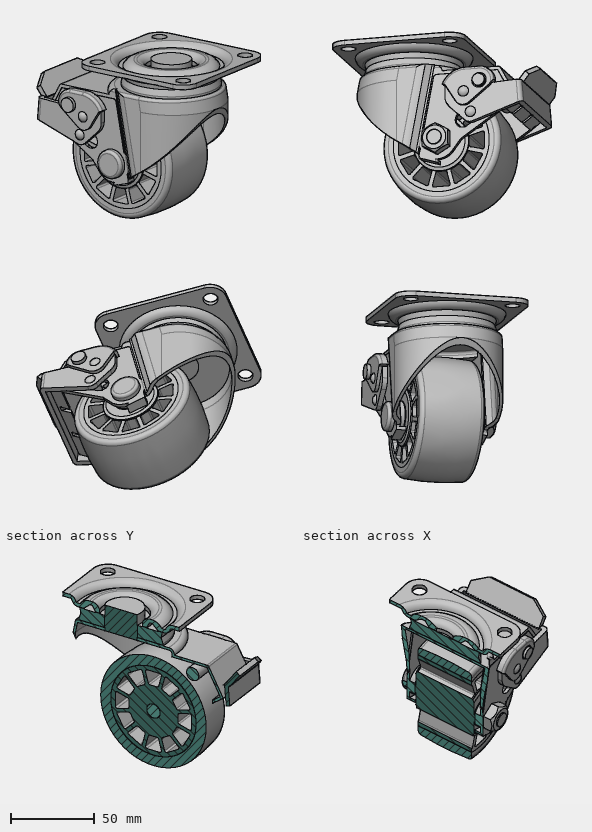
import cadquery as cq
import math

SHEET = 2.0

PLATE_SIDE = 82.0
PLATE_THICK = 2.9
PLATE_CORNER_R = 10.0
BOLT_HOLE_PITCH = 63.0
BOLT_HOLE_D = 8.9
DISH_OUTER_R = 36.5
DISH_FLOOR_OUTER_R = 31.5
DISH_FLOOR_INNER_R = 29.0
DISH_DEPTH = 4.2
BEAD_TOP_OUTER_R = 22.3
BEAD_TOP_INNER_R = 20.6
BEAD_DROP = 0.4
PLATE_BORE_R = 15.5
PRESS_BULGE = 1.0
DISH_FOOT_R = 30.7
DISH_EDGE_R = 35.2
DISH_BOTTOM_Z = -(DISH_DEPTH + PLATE_THICK)

FORK_TOP_Z = -15.8
RACE_TOP_R = 29.5
RACE_WAIST_R = 28.7
RACE_WAIST_Z = -10.5
RACE_FOOT_R = 30.0
RACE_FOOT_Z = -14.5
KINGPIN_R = 12.2

AXLE_X = -22.8
AXLE_Z = -62.4
AXLE = (AXLE_X, AXLE_Z)
WHEEL_R = 37.4
TREAD_EDGE_R = 36.5
TREAD_SHOULDER_R = 33.0
TREAD_CROWN_HALF = 17.5
TREAD_HALF_WIDTH = 20.0
SHOULDER_BULGE = 0.9
CORE_R = 29.8
HUB_R = 17.2
HUB_HALF_WIDTH = 21.6
HUB_BEVEL = 2.0
HUB_BEVEL_DEPTH = 0.7
COLLAR_R = 9.1
WINDOW_COUNT = 12
WINDOW_INNER_R = 17.3
WINDOW_OUTER_R = 26.7
SPOKE_THICK = 2.6
WINDOW_CORNER_R = 1.0

BOLT_R = 4.5
BOLT_HEAD_R = 8.9
BOLT_HEAD_HEIGHT = 4.1
BOLT_HEAD_ROUND = 1.9
BOLT_END_Y = 35.8
NUT_FLATS = 16.0
NUT_HEIGHT = 6.7
NUT_CHAMFER_R = 7.2

HOOD_HALF = 28.0
LEG_HALF = 28.2
SKIRT_HALF = 33.0
CAP_FRONT_R = 37.9
CAP_FRONT_ROUND = 4.0
SKIRT_TOP_R = 32.7
SKIRT_R = 34.1
SKIRT_FLARE_END_Z = -25.0
SKIRT_EDGE_MID = (19.0, -47.4)
SKIRT_EDGE_LOW = (-1.9, -64.3)
SKIRT_TOE = (-11.2, -70.1)
EDGE_ROUND = 1.9
HOOD_TOP_Z = -19.8
HOOD_CREST = (-61.5, HOOD_TOP_Z)
HOOD_CREST_R = 1.2
PAD_INSET = 2.1
PAD_CORNER_R = 2.0
HOOD_NOSE = (-72.1, -39.3)
HOOD_LIP = (-64.3, -45.2)
LEG_NECK = (-37.4, -62.8)
LEG_HEEL = (-32.3, -69.5)
LEG_END_R = 11.9
CUT_LOWEST_Z = -87.4
RIDGE_X = -19.7
RIDGE_SLOPE = 0.19
RIDGE_STEP = 3.4
RIDGE_STEP_HALF = 31.6
RIDGE_ROLL = 8.5
RIDGE_BULGE = 0.4
RIDGE_FOOT_HALF = 28.6
RIDGE_FOOT = 1.2
CAVITY_REAR_X = 12.5
RIM_ROUND = 1.2
RIM_THICK = 2.1
RIM_END = (-11.5, -70.6)
NOTCH_Y = 10.5
NOTCH_WIDTH = 2.7
NOTCH_TOP_Z = -40.5
NOTCH_DEPTH = 7.5
NOTCH_LENGTH = 17.5
LEG_BOSS_R = 9.7
LEG_BOSS_END = 22.1
SLOT_REAR = (-38.7, -51.0)
SLOT_R = 4.7

PEDAL_INNER_HALF = 28.7
PEDAL_OUTER_HALF = 31.8
PEDAL_FRONT_TOP = (-75.6, -29.8)
PEDAL_FRONT_BOTTOM = (-76.7, -43.0)
PEDAL_FRONT_THICK = 3.0
PEDAL_CORNER_R = 2.7
ARM_TOP = (-57.7, -30.7)
ARM_REAR_TOP = (-35.0, -27.5)
ARM_REAR = (-28.6, -30.6)
ARM_REAR_LOW = (-28.6, -37.4)
ARM_HEEL = (-31.7, -43.9)
ARM_REAR_BULGE = 0.7
ARM_TOE_REAR = (-40.5, -52.2)
ARM_TOE = (-46.2, -53.3)
ARM_TOE_BULGE = 0.9
TAB_TIP_INNER = (-81.1, -18.3)
TAB_BASE_INNER = (-72.9, -29.0)
TAB_HALF = 26.8
TAB_TIP_HALF = 16.5
TAB_THICK = 3.4
TAB_TAPER = 6.9
TAB_ROOT = 2.5
TAB_EMBED = 0.5
BOSS_OUTER_HALF = 34.0
BOSS_ROUND = 1.6
BOSS_SHOULDER_X = -40.8
BOSS_REAR_MID = (-32.5, -23.0)
BOSS_TIP = (-27.1, -29.5)
BOSS_REAR = (-29.0, -30.2)
BOSS_LOW_REAR = (-35.5, -40.5)
BOSS_LOWEST = (-40.3, -43.4)
BOSS_LOW_FRONT = (-44.3, -42.0)
BOSS_FRONT = (-56.7, -32.2)
PIVOT = (-50.4, -29.1)
PIVOT_BOSS_R = 8.9
PIN_R = 4.5
PIN_TIP_R = 3.7
PIN_FRONT_Y = -36.3
PIN_BACK_Y = 35.7
DIMPLE_R = 3.2
DIMPLE_HEIGHT = 1.6
BOSS_DIMPLE = (-40.7, -35.2)
ARM_DIMPLE = (-44.4, -47.5)
STUD_R = 4.5
STUD_END = 22.2


def slab_y(sketch, y_from, y_to):
    """Extrude a sketch drawn on the XZ plane between two Y positions."""
    return sketch.extrude(-(y_to - y_from)).translate((0, y_from, 0))


def xz():
    return cq.Workplane("XZ")


def rod_y(center, radius, y_from, y_to):
    return slab_y(xz().center(*center).circle(radius), y_from, y_to)


def about_z(profile):
    return profile.close().revolve(360, (0, 0, 0), (0, 1, 0))


def about_axle(profile):
    """Turn a (radius, Y) profile about the axle."""
    return profile.close().revolve(360, (0, 0, 0), (0, 1, 0)).translate((AXLE_X, 0, AXLE_Z))


def both_sides(body):
    return body.union(body.mirror("XZ"))


def bulge(start, end, rise):
    """Middle point of a shallow arc that bows to the left of start-end by rise."""
    dx, dz = end[0] - start[0], end[1] - start[1]
    length = math.hypot(dx, dz)
    return ((start[0] + end[0]) / 2 - dz / length * rise, (start[1] + end[1]) / 2 + dx / length * rise)


def make_plate():
    plate = cq.Workplane("XY").rect(PLATE_SIDE, PLATE_SIDE).extrude(-PLATE_THICK)
    plate = plate.edges("|Z").fillet(PLATE_CORNER_R)
    plate = plate.cut(cq.Workplane("XY").circle(DISH_OUTER_R).extrude(-PLATE_THICK))

    rim_top, floor_outer = (DISH_OUTER_R, 0), (DISH_FLOOR_OUTER_R, -DISH_DEPTH)
    floor_inner, crest_outer = (DISH_FLOOR_INNER_R, -DISH_DEPTH), (BEAD_TOP_OUTER_R, -BEAD_DROP)
    crest_inner, bore_top = (BEAD_TOP_INNER_R, -BEAD_DROP), (PLATE_BORE_R, -DISH_DEPTH)
    under_crest_z = -BEAD_DROP - PLATE_THICK
    under_outer, under_inner = (RACE_TOP_R - PLATE_THICK, DISH_BOTTOM_Z), (BEAD_TOP_OUTER_R, under_crest_z)
    dish_foot, dish_edge = (DISH_FOOT_R, DISH_BOTTOM_Z), (DISH_EDGE_R, -PLATE_THICK)
    pressing = (
        xz().moveTo(*rim_top).threePointArc(bulge(rim_top, floor_outer, -PRESS_BULGE), floor_outer)
        .lineTo(*floor_inner).threePointArc(bulge(floor_inner, crest_outer, -PRESS_BULGE), crest_outer)
        .lineTo(*crest_inner).threePointArc(bulge(crest_inner, bore_top, -PRESS_BULGE), bore_top)
        .lineTo(PLATE_BORE_R, DISH_BOTTOM_Z).lineTo(PLATE_BORE_R + PLATE_THICK, DISH_BOTTOM_Z)
        .lineTo(BEAD_TOP_INNER_R, under_crest_z).lineTo(*under_inner).lineTo(*under_outer)
        .lineTo(*dish_foot).threePointArc(bulge(dish_foot, dish_edge, -PRESS_BULGE), dish_edge)
        .lineTo(DISH_OUTER_R, -PLATE_THICK)
    )
    plate = plate.union(about_z(pressing))
    holes = cq.Workplane("XY").rect(BOLT_HOLE_PITCH, BOLT_HOLE_PITCH, forConstruction=True).vertices()
    return plate.cut(holes.circle(BOLT_HOLE_D / 2).extrude(-PLATE_THICK))


def make_race():
    return about_z(xz().polyline([
        (KINGPIN_R, DISH_BOTTOM_Z), (RACE_TOP_R, DISH_BOTTOM_Z), (RACE_WAIST_R, RACE_WAIST_Z),
        (RACE_FOOT_R, RACE_FOOT_Z), (RACE_FOOT_R, FORK_TOP_Z), (KINGPIN_R, FORK_TOP_Z),
    ]))


def make_kingpin():
    return cq.Workplane("XY").circle(KINGPIN_R).extrude(FORK_TOP_Z - SHEET)


def make_tread():
    edge_far, edge_near = (TREAD_EDGE_R, TREAD_CROWN_HALF), (TREAD_EDGE_R, -TREAD_CROWN_HALF)
    side_far, side_near = (TREAD_SHOULDER_R, TREAD_HALF_WIDTH), (TREAD_SHOULDER_R, -TREAD_HALF_WIDTH)
    return about_axle(
        cq.Workplane("XY").moveTo(CORE_R, -TREAD_HALF_WIDTH).lineTo(*side_near)
        .threePointArc(bulge(side_near, edge_near, -SHOULDER_BULGE), edge_near)
        .threePointArc((WHEEL_R, 0), edge_far)
        .threePointArc(bulge(edge_far, side_far, -SHOULDER_BULGE), side_far)
        .lineTo(CORE_R, TREAD_HALF_WIDTH)
    )


def make_core():
    core = rod_y(AXLE, CORE_R, -TREAD_HALF_WIDTH, TREAD_HALF_WIDTH)
    hub = about_axle(cq.Workplane("XY").polyline([
        (0, -HUB_HALF_WIDTH), (HUB_R - HUB_BEVEL, -HUB_HALF_WIDTH), (HUB_R, HUB_BEVEL_DEPTH - HUB_HALF_WIDTH),
        (HUB_R, HUB_HALF_WIDTH - HUB_BEVEL_DEPTH), (HUB_R - HUB_BEVEL, HUB_HALF_WIDTH), (0, HUB_HALF_WIDTH),
    ]))
    collar = rod_y(AXLE, COLLAR_R, -LEG_BOSS_END, LEG_BOSS_END)
    core = core.union(hub).union(collar)
    half_pitch = math.pi / WINDOW_COUNT
    spoke_inset = SPOKE_THICK / 2 / math.cos(half_pitch)
    inner_half = WINDOW_INNER_R * math.tan(half_pitch) - spoke_inset
    outer_half = WINDOW_OUTER_R * math.tan(half_pitch) - spoke_inset
    window = slab_y(
        xz().polyline([
            (-inner_half, -WINDOW_INNER_R), (inner_half, -WINDOW_INNER_R),
            (outer_half, -WINDOW_OUTER_R), (-outer_half, -WINDOW_OUTER_R),
        ]).close(), -HUB_HALF_WIDTH, HUB_HALF_WIDTH,
    ).edges("|Y").fillet(WINDOW_CORNER_R)
    for i in range(WINDOW_COUNT):
        turned = window.rotate((0, 0, 0), (0, 1, 0), i * 360 / WINDOW_COUNT)
        core = core.cut(turned.translate((AXLE_X, 0, AXLE_Z)))
    return core.cut(rod_y(AXLE, BOLT_R, -LEG_BOSS_END, LEG_BOSS_END))


def make_bolt():
    head = rod_y(AXLE, BOLT_HEAD_R, -LEG_HALF - BOLT_HEAD_HEIGHT, -LEG_HALF)
    head = head.faces("<Y").edges().fillet(BOLT_HEAD_ROUND)
    return head.union(rod_y(AXLE, BOLT_R, -LEG_HALF, BOLT_END_Y))


def make_nut():
    corner_d = NUT_FLATS / math.cos(math.pi / 6)
    hexagon = xz().polygon(6, corner_d).extrude(-NUT_HEIGHT)
    hexagon = hexagon.rotate((0, 0, 0), (0, 1, 0), 90).translate((AXLE_X, LEG_HALF, AXLE_Z))
    outer_y = LEG_HALF + NUT_HEIGHT
    cone = about_axle(cq.Workplane("XY").polyline([
        (BOLT_R, LEG_HALF), (corner_d / 2, LEG_HALF),
        (corner_d / 2, outer_y - corner_d / 2 + NUT_CHAMFER_R), (NUT_CHAMFER_R, outer_y), (BOLT_R, outer_y),
    ]))
    return hexagon.intersect(cone)


def ridge_x(z):
    return RIDGE_X + RIDGE_SLOPE * (FORK_TOP_Z - z)


def cap_form(inset):
    """Round front of the cap, between the hood sides, shrunk by inset."""
    radius, top = CAP_FRONT_R - inset, FORK_TOP_Z - inset
    round_r = CAP_FRONT_ROUND - inset
    bottom = HOOD_TOP_Z - 2 * SHEET
    disc = cq.Workplane("XY").workplane(offset=bottom).circle(radius).extrude(top - bottom)
    disc = disc.faces(">Z").edges().fillet(round_r)
    half = HOOD_HALF - inset
    slab = cq.Workplane("XY").box(radius, 2 * half, top - bottom, centered=(False, True, False))
    slab = slab.translate((-radius, 0, bottom))
    if inset == 0:
        slab = slab.edges("|X and >Z").fillet(EDGE_ROUND)
    return disc.intersect(slab)


def skirt_plan(z, rear_x, half):
    """Straight parallel sides closed by a half circle at the rear."""
    return (
        cq.Workplane("XY").workplane(offset=z).moveTo(-CAP_FRONT_R, -half)
        .lineTo(rear_x - half, -half).threePointArc((rear_x, 0), (rear_x - half, half))
        .lineTo(-CAP_FRONT_R, half).close()
    )


def ridge_front(inset):
    """Everything behind the slanted step that widens the fork from legs to skirt."""
    top = FORK_TOP_Z - inset
    front = ridge_x(top) + inset
    foot, step = (front - RIDGE_FOOT, LEG_HALF - inset), (front, RIDGE_FOOT_HALF - inset)
    shoulder = (front + RIDGE_STEP, RIDGE_STEP_HALF - inset)
    side, rear = (front + RIDGE_ROLL, SKIRT_HALF - inset), (2 * SKIRT_R, SKIRT_HALF - inset)
    roll = bulge(shoulder, side, RIDGE_BULGE)
    outline = (
        cq.Workplane("XY").workplane(offset=top).moveTo(*foot).lineTo(*step).lineTo(*shoulder)
        .threePointArc(roll, side).lineTo(*rear).lineTo(rear[0], -rear[1]).lineTo(side[0], -side[1])
        .threePointArc((roll[0], -roll[1]), (shoulder[0], -shoulder[1])).lineTo(step[0], -step[1])
        .lineTo(foot[0], -foot[1]).close().wires().val()
    )
    depth = top - CUT_LOWEST_Z
    travel = cq.Vector(RIDGE_SLOPE * depth, 0, -depth)
    return cq.Workplane(cq.Solid.extrudeLinear(cq.Face.makeFromWires(outline), travel))


def skirt_form(inset):
    """Wide rear skirt that flares rearward toward its lower edge, shrunk by inset."""
    top = FORK_TOP_Z - inset
    half = SKIRT_HALF - inset
    slope = (SKIRT_R - SKIRT_TOP_R) / (FORK_TOP_Z - EDGE_ROUND - SKIRT_FLARE_END_Z)
    top_rear = SKIRT_R - slope * (top - SKIRT_FLARE_END_Z)
    flare_top = skirt_plan(top, top_rear - inset, half).wires().val()
    flare_end = skirt_plan(SKIRT_FLARE_END_Z, SKIRT_R - inset, half)
    body = cq.Workplane(cq.Solid.makeLoft([flare_top, flare_end.wires().val()], True))
    if inset == 0:
        body = body.edges(">Z").edges(">X or >Y or <Y").fillet(EDGE_ROUND)
    body = body.union(flare_end.extrude(CUT_LOWEST_Z - SKIRT_FLARE_END_Z))
    return body.intersect(ridge_front(inset))


def skirt_silhouette():
    """Side shape of the skirt: a curved lower edge rising from the axle to the rear."""
    far = 2 * CAP_FRONT_R
    return slab_y(
        xz().moveTo(-far, 0).lineTo(SKIRT_R, 0).lineTo(SKIRT_R, SKIRT_FLARE_END_Z)
        .threePointArc(SKIRT_EDGE_MID, SKIRT_EDGE_LOW).lineTo(*SKIRT_TOE).lineTo(-far, SKIRT_TOE[1]).close(),
        -far, far,
    )


def leg_hood_profile():
    """Side shape of the hood and legs without the round end at the axle."""
    return xz().polyline([
        HOOD_CREST, HOOD_NOSE, HOOD_LIP, LEG_NECK, LEG_HEEL, (AXLE_X, AXLE_Z - LEG_END_R),
        RIM_END, (ridge_x(HOOD_TOP_Z), HOOD_TOP_Z),
    ]).close()


def leg_pad_profile():
    """Flat face of a leg: the hood shape less a margin at the front, top and rear."""
    slope = (HOOD_NOSE[0] - HOOD_CREST[0]) / (HOOD_NOSE[1] - HOOD_CREST[1])
    margin = PAD_INSET * math.hypot(1, slope)
    top_z = HOOD_TOP_Z - PAD_INSET
    front_top = (HOOD_CREST[0] + margin - slope * PAD_INSET, top_z)
    return xz().polyline([
        front_top, (HOOD_NOSE[0] + margin, HOOD_NOSE[1]), HOOD_LIP, LEG_NECK, LEG_HEEL,
        (AXLE_X, AXLE_Z - LEG_END_R), RIM_END, (ridge_x(top_z) - PAD_INSET, top_z),
    ]).close()


def make_fork():
    hood = slab_y(leg_hood_profile(), -HOOD_HALF, HOOD_HALF)
    crest = cq.selectors.NearestToPointSelector((HOOD_CREST[0], 0, HOOD_CREST[1]))
    hood = hood.edges(crest).fillet(HOOD_CREST_R)
    pads = slab_y(leg_pad_profile(), -LEG_HALF, LEG_HALF)
    pads = pads.edges("|Y").edges(">Z").edges(">X").fillet(PAD_CORNER_R)
    leg_ends = rod_y(AXLE, LEG_END_R, -LEG_HALF, LEG_HALF)
    fork = hood.union(pads).union(leg_ends).union(cap_form(0))
    fork = fork.union(skirt_form(0).intersect(skirt_silhouette()))

    inner = HOOD_HALF - SHEET
    hood_cavity = slab_y(leg_hood_profile().offset2D(-SHEET), -inner, inner)
    space_top = HOOD_TOP_Z - 2 * SHEET
    wheel_space = slab_y(
        xz().polyline([
            (HOOD_CREST[0] + 2 * SHEET, space_top), (CAVITY_REAR_X, space_top),
            (CAVITY_REAR_X, CUT_LOWEST_Z), (HOOD_LIP[0], CUT_LOWEST_Z), (HOOD_LIP[0], HOOD_NOSE[1]),
        ]).close(), -inner, inner,
    )
    fork = fork.cut(hood_cavity).cut(cap_form(SHEET)).cut(skirt_form(SHEET)).cut(wheel_space)

    boss = rod_y(AXLE, LEG_BOSS_R, LEG_BOSS_END, LEG_HALF)
    low = (AXLE_X, AXLE_Z - LEG_END_R)
    rim = slab_y(
        xz().polyline([
            low, RIM_END, (RIM_END[0], RIM_END[1] - RIM_THICK), (low[0], low[1] - RIM_THICK),
        ]).close(),
        LEG_BOSS_END, LEG_HALF,
    )
    rim = rim.edges(">Y").edges("<Z").fillet(RIM_ROUND)
    fork = fork.union(both_sides(boss.union(rim)))

    for y in (-NOTCH_Y, NOTCH_Y):
        notch = cq.Workplane("XY").box(NOTCH_LENGTH, NOTCH_WIDTH, NOTCH_DEPTH, centered=(True, True, False))
        fork = fork.cut(notch.translate((HOOD_LIP[0], y, NOTCH_TOP_Z - NOTCH_DEPTH)))
    slot_dx, slot_dz = SLOT_REAR[0] - ARM_DIMPLE[0], SLOT_REAR[1] - ARM_DIMPLE[1]
    slot = slab_y(
        xz().slot2D(math.hypot(slot_dx, slot_dz) + 2 * SLOT_R, 2 * SLOT_R,
                    math.degrees(math.atan2(slot_dz, slot_dx))), -LEG_HALF, LEG_HALF,
    ).translate((ARM_DIMPLE[0] + slot_dx / 2, 0, ARM_DIMPLE[1] + slot_dz / 2))
    fork = fork.cut(slot)
    for center, radius in ((AXLE, BOLT_R), (PIVOT, PIN_R)):
        fork = fork.cut(rod_y(center, radius, -LEG_HALF, LEG_HALF))
    return fork.cut(cq.Workplane("XY").circle(KINGPIN_R).extrude(HOOD_TOP_Z))


def pedal_arms():
    side = (
        xz().moveTo(*PEDAL_FRONT_TOP).lineTo(*ARM_TOP).lineTo(*ARM_REAR_TOP).lineTo(*ARM_REAR)
        .lineTo(*ARM_REAR_LOW).threePointArc(bulge(ARM_REAR_LOW, ARM_HEEL, ARM_REAR_BULGE), ARM_HEEL)
        .lineTo(*ARM_TOE_REAR).threePointArc(bulge(ARM_TOE_REAR, ARM_TOE, ARM_TOE_BULGE), ARM_TOE)
        .lineTo(*PEDAL_FRONT_BOTTOM).close()
    )
    block = slab_y(side, -PEDAL_OUTER_HALF, PEDAL_OUTER_HALF)
    block = block.faces("<X").edges("not |Y").fillet(PEDAL_CORNER_R)
    inside = slab_y(
        xz().polyline([
            (PEDAL_FRONT_TOP[0] + PEDAL_FRONT_THICK, 0),
            (PEDAL_FRONT_TOP[0] + PEDAL_FRONT_THICK, PEDAL_FRONT_TOP[1]),
            (PEDAL_FRONT_BOTTOM[0] + PEDAL_FRONT_THICK, PEDAL_FRONT_BOTTOM[1]),
            (PEDAL_FRONT_BOTTOM[0] + PEDAL_FRONT_THICK, CUT_LOWEST_Z), (0, CUT_LOWEST_Z), (0, 0),
        ]).close(), -PEDAL_INNER_HALF, PEDAL_INNER_HALF,
    )
    return block.cut(inside)


def pedal_tab():
    """Sloping foot tab with tapered corners, laid out in its own plane."""
    run = (TAB_TIP_INNER[0] - TAB_BASE_INNER[0], TAB_TIP_INNER[1] - TAB_BASE_INNER[1])
    length = math.hypot(*run)
    up = (run[0] / length, run[1] / length)
    plane = cq.Plane(
        origin=(TAB_BASE_INNER[0], 0, TAB_BASE_INNER[1]), xDir=(0, -1, 0), normal=(-up[1], 0, up[0]),
    )
    taper_start = length - TAB_TAPER
    half_outline = [(TAB_HALF, -TAB_ROOT), (TAB_HALF, taper_start), (TAB_TIP_HALF, length)]
    outline = half_outline + [(-across, along) for across, along in reversed(half_outline)]
    tab = cq.Workplane(plane).polyline(outline).close().extrude(TAB_THICK)
    foot_z = PEDAL_FRONT_TOP[1] - TAB_EMBED
    waste = cq.Workplane("XY").box(-2 * TAB_TIP_INNER[0], 3 * TAB_HALF, length, centered=(True, True, False))
    return tab.cut(waste.translate((TAB_TIP_INNER[0], 0, foot_z - length)))


def pedal_boss():
    """Raised rounded boss around the pivot on the far arm."""
    px, pz = PIVOT
    top_z = pz + PIVOT_BOSS_R
    lobe_start = (px - PIVOT_BOSS_R, pz)
    lobe_mid = (px - PIVOT_BOSS_R * math.sqrt(0.5), pz + PIVOT_BOSS_R * math.sqrt(0.5))
    boss = slab_y(
        xz().moveTo(*lobe_start).threePointArc(lobe_mid, (px, top_z)).lineTo(BOSS_SHOULDER_X, top_z)
        .threePointArc(BOSS_REAR_MID, BOSS_TIP).lineTo(*BOSS_REAR).lineTo(*BOSS_LOW_REAR)
        .threePointArc(BOSS_LOWEST, BOSS_LOW_FRONT).lineTo(*BOSS_FRONT).close(),
        PEDAL_INNER_HALF, BOSS_OUTER_HALF,
    )
    box_low, box_high = (PEDAL_FRONT_TOP[0], PEDAL_OUTER_HALF, pz), (0, PIN_BACK_Y, 0)
    upper_edges = cq.selectors.BoxSelector(box_low, box_high)
    return boss.faces(">Y").edges(upper_edges).fillet(BOSS_ROUND)


def dimple(center, base_y):
    """Shallow ball-shaped bump on the far arm."""
    ball_r = (DIMPLE_R ** 2 + DIMPLE_HEIGHT ** 2) / (2 * DIMPLE_HEIGHT)
    tip_y = base_y + DIMPLE_HEIGHT
    ball = cq.Workplane("XY").sphere(ball_r).translate((center[0], tip_y - ball_r, center[1]))
    return ball.intersect(rod_y(center, DIMPLE_R, base_y, tip_y))


def make_pedal():
    side = pedal_boss().union(dimple(BOSS_DIMPLE, BOSS_OUTER_HALF))
    side = side.union(dimple(ARM_DIMPLE, PEDAL_OUTER_HALF))
    side = side.union(rod_y(ARM_DIMPLE, STUD_R, STUD_END, PEDAL_INNER_HALF))
    pedal = pedal_arms().union(pedal_tab()).union(both_sides(side))
    return pedal.cut(rod_y(PIVOT, PIN_R, -BOSS_OUTER_HALF, BOSS_OUTER_HALF))


def make_pivot_pin():
    shaft = rod_y(PIVOT, PIN_R, PIN_FRONT_Y, BOSS_OUTER_HALF)
    return shaft.union(rod_y(PIVOT, PIN_TIP_R, BOSS_OUTER_HALF, PIN_BACK_Y))


bodies = [
    make_plate(), make_race(), make_kingpin(), make_fork(), make_tread(), make_core(),
    make_bolt(), make_nut(), make_pedal(), make_pivot_pin(),
]
result = cq.Compound.makeCompound([body.solids().val() for body in bodies])